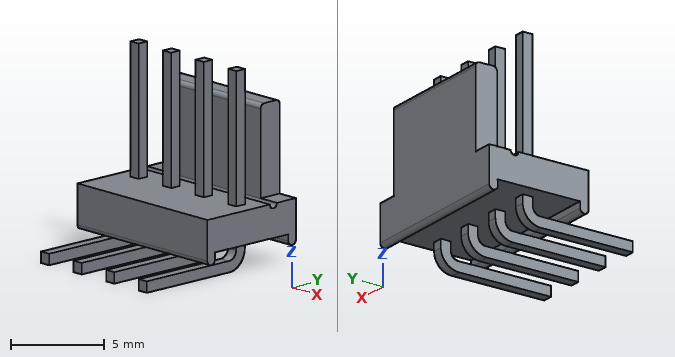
import cadquery as cq


pin_count = 4
pin_pitch = 2.54
pin_width = 0.64
pin_height = 11.05
pin_back_y = -2.85
tail_end_y = -10.03
bend_inner_radius = 0.52
bend_outer_radius = bend_inner_radius + pin_width

base_length = 10.15
base_depth = 6.49
base_bottom = 1.66
base_top = 3.56
foot_bottom = 1.01
foot_width = 0.56
foot_radius = foot_width / 2

wall_length = (pin_count - 1) * pin_pitch
wall_thickness = 1.4
wall_top = 8.77
wall_edge_radius = 0.27
groove_radius = 0.25


def block(length, y_front, y_back, z_bottom, z_top):
    """Box centred on X, spanning the given Y and Z limits."""
    return (
        cq.Workplane("XY")
        .box(length, y_back - y_front, z_top - z_bottom, centered=(True, False, False))
        .translate((0, y_front, z_bottom))
    )


def rod(radius, y_center, z_center):
    """Round bar along X, as long as the base."""
    return (
        cq.Workplane("YZ", origin=(-base_length / 2, y_center, z_center))
        .circle(radius)
        .extrude(base_length)
    )


def make_foot(y_front):
    """Full-length rail with a half-round lower edge."""
    foot = block(base_length, y_front, y_front + foot_width, foot_bottom + foot_radius, base_top)
    rounded_edge = rod(foot_radius, y_front + foot_radius, foot_bottom + foot_radius)
    return foot.union(rounded_edge)


def make_housing():
    base = block(base_length, -base_depth, 0, base_bottom, base_top)
    for y_front in (-base_depth, -foot_width):
        base = base.union(make_foot(y_front))

    wall = block(wall_length, -wall_thickness, 0, base_bottom, wall_top)
    wall = wall.faces(">Z").edges("|X").fillet(wall_edge_radius)

    groove = rod(groove_radius, -wall_thickness - groove_radius, base_top)
    return base.union(wall).cut(groove)


def make_pin(x_center):
    """Square pin standing up through the base, with its tail bent forward."""
    pin_front_y = pin_back_y - pin_width
    profile = (
        cq.Workplane("YZ")
        .moveTo(pin_back_y, pin_height)
        .lineTo(pin_back_y, bend_outer_radius)
        .radiusArc((pin_back_y - bend_outer_radius, 0), bend_outer_radius)
        .lineTo(tail_end_y, 0)
        .lineTo(tail_end_y, pin_width)
        .lineTo(pin_front_y - bend_inner_radius, pin_width)
        .radiusArc((pin_front_y, bend_outer_radius), -bend_inner_radius)
        .lineTo(pin_front_y, pin_height)
        .close()
    )
    return profile.extrude(pin_width / 2, both=True).translate((x_center, 0, 0))


result = make_housing()
first_pin_x = -wall_length / 2
for pin_index in range(pin_count):
    result = result.union(make_pin(first_pin_x + pin_index * pin_pitch))